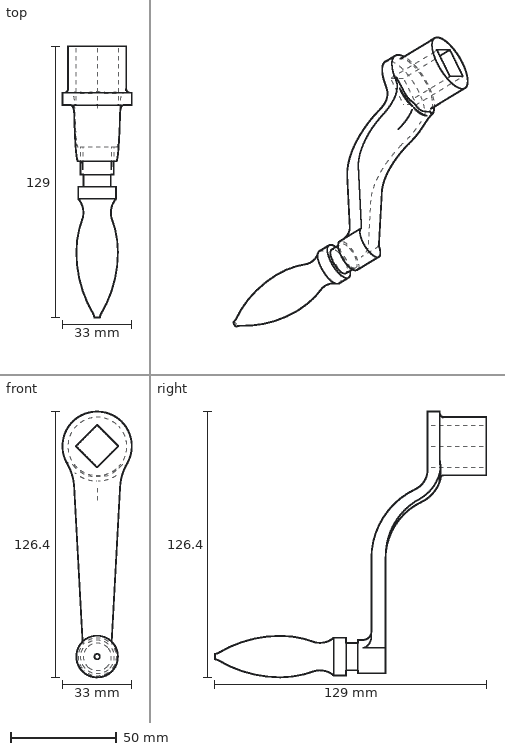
import cadquery as cq
import math


head_radius = 16.5
head_thickness = 5.9
hub_radius = 13.9
hub_back = 28.0
hub_fillet = 1.5
socket_diagonal = 20.1

stem_front = -26.7
stem_thickness = 6.8
stem_back = stem_front + stem_thickness
bend_start = -11.2
bend_end = -53.4
lower_bend_radius = 36.5
edge_thickness = 4.1

pivot_z = -100.0
arm_half_width_top = 11.0
arm_half_width_pivot = 6.6
taper_start = -19.4
blend_z = -8.0

boss_radius = 8.0
boss_front = -33.0
boss_fillet = 3.9

neck_radius = 6.6
collar_back = -38.7
collar_front = -44.5
collar_radius = 9.0
waist_y = -50.8
grip_start = -53.4
grip_start_radius = 6.8
belly_y = -69.9
belly_radius = 9.9
grip_end = -99.6
grip_end_radius = 1.7
tip_y = hub_back - 129
tip_radius = 1.3

lower_center_y = stem_front + lower_bend_radius
bend_drop = bend_start - bend_end
upper_bend_radius = (
    (lower_bend_radius**2 - lower_center_y**2 - bend_drop**2)
    / (2 * (lower_center_y - lower_bend_radius))
)
upper_center = (-upper_bend_radius, bend_start)
lower_center = (lower_center_y, bend_end)
joint_angle = math.atan2(-bend_drop, lower_center_y + upper_bend_radius)


def polar(center, radius, angle):
    return (center[0] + radius * math.cos(angle), center[1] + radius * math.sin(angle))


def arm_profile(x, head_back, bend_thickness):
    """Closed side profile in the YZ plane at the given X."""
    upper_mid = joint_angle / 2
    lower_mid = (joint_angle + 2 * math.pi) / 2
    upper_back = upper_bend_radius + bend_thickness
    lower_back = lower_bend_radius - (bend_thickness + stem_thickness) / 2
    return (
        cq.Workplane("YZ", origin=(x, 0, 0))
        .moveTo(0, 0)
        .lineTo(0, bend_start)
        .threePointArc(
            polar(upper_center, upper_bend_radius, upper_mid),
            polar(upper_center, upper_bend_radius, joint_angle),
        )
        .threePointArc(polar(lower_center, lower_bend_radius, lower_mid), (stem_front, bend_end))
        .lineTo(stem_front, pivot_z)
        .lineTo(stem_back, pivot_z)
        .lineTo(stem_back, bend_end)
        .threePointArc(
            polar(lower_center, lower_back, lower_mid),
            polar(upper_center, upper_back, joint_angle),
        )
        .threePointArc(polar(upper_center, upper_back, upper_mid), (head_back, bend_start))
        .lineTo(head_back, 0)
        .close()
        .val()
    )


def crowned_arm_half(side):
    """Half of the arm body: thickest at X = 0 and thinner towards its side."""
    center = arm_profile(0, stem_thickness, stem_thickness)
    edge = arm_profile(side * head_radius, head_thickness, edge_thickness)
    return cq.Workplane(cq.Solid.makeLoft([center, edge], True))


def half_outline_prism():
    """Right half of the tapered outline, extruded through the full depth of the arm."""
    blend_x = math.sqrt(head_radius**2 - blend_z**2)
    return (
        cq.Workplane("XZ", origin=(0, hub_back, 0))
        .moveTo(arm_half_width_pivot, pivot_z)
        .lineTo(arm_half_width_top, taper_start)
        .tangentArcPoint((blend_x, blend_z), relative=False)
        .lineTo(0, 0)
        .lineTo(0, pivot_z)
        .close()
        .extrude(hub_back - tip_y)
    )


def revolve_about_y(profile, axis_z):
    """Revolve a (radius, Y) profile about the line parallel to Y at X = 0."""
    solid = profile.close().revolve(360, (0, 0, 0), (0, 1, 0))
    return solid.translate((0, 0, axis_z))


def hub():
    fillet_mid = hub_fillet * (1 - math.sqrt(0.5))
    profile = (
        cq.Workplane("XY")
        .moveTo(0, 0)
        .lineTo(head_radius, 0)
        .lineTo(head_radius, head_thickness)
        .lineTo(hub_radius + hub_fillet, head_thickness)
        .threePointArc(
            (hub_radius + fillet_mid, head_thickness + fillet_mid),
            (hub_radius, head_thickness + hub_fillet),
        )
        .lineTo(hub_radius, hub_back)
        .lineTo(0, hub_back)
    )
    return revolve_about_y(profile, 0)


def boss():
    profile = (
        cq.Workplane("XY")
        .moveTo(0, stem_back)
        .lineTo(boss_radius, stem_back)
        .lineTo(boss_radius, boss_front)
        .lineTo(0, boss_front)
    )
    return revolve_about_y(profile, pivot_z)


def boss_flare():
    """Concave fillet between the boss and the front of the arm."""
    fillet_mid = boss_fillet * (1 - math.sqrt(0.5))
    profile = (
        cq.Workplane("XY")
        .moveTo(0, stem_front)
        .lineTo(boss_radius + boss_fillet, stem_front)
        .threePointArc(
            (boss_radius + fillet_mid, stem_front - fillet_mid),
            (boss_radius, stem_front - boss_fillet),
        )
        .lineTo(0, stem_front - boss_fillet)
    )
    return revolve_about_y(profile, pivot_z)


def handle():
    profile = (
        cq.Workplane("XY")
        .moveTo(0, boss_front)
        .lineTo(neck_radius, boss_front)
        .lineTo(neck_radius, collar_back)
        .lineTo(collar_radius, collar_back)
        .lineTo(collar_radius, collar_front)
        .threePointArc((neck_radius, waist_y), (grip_start_radius, grip_start))
        .threePointArc(belly_point(grip_start, grip_start_radius), (belly_radius, belly_y))
        .threePointArc(belly_point(grip_end, grip_end_radius), (grip_end_radius, grip_end))
        .lineTo(tip_radius, tip_y)
        .lineTo(0, tip_y)
    )
    return revolve_about_y(profile, pivot_z)


def belly_point(end_y, end_radius):
    """Point halfway along the arc that leaves the belly parallel to the axis."""
    length = end_y - belly_y
    drop = belly_radius - end_radius
    arc_radius = (length**2 + drop**2) / (2 * drop)
    half_angle = math.asin(abs(length) / arc_radius) / 2
    y = belly_y + math.copysign(arc_radius * math.sin(half_angle), length)
    return (belly_radius - arc_radius * (1 - math.cos(half_angle)), y)


def square_socket():
    """Square through hole standing on its corner."""
    return (
        cq.Workplane("XZ", origin=(0, hub_back, 0))
        .polygon(4, socket_diagonal)
        .extrude(hub_back)
    )


half_outline = half_outline_prism()
outline = half_outline.union(half_outline.mirror("YZ"))
arm = crowned_arm_half(1).union(crowned_arm_half(-1)).union(boss_flare()).intersect(outline)
result = arm.union(hub()).union(boss()).union(handle()).cut(square_socket())